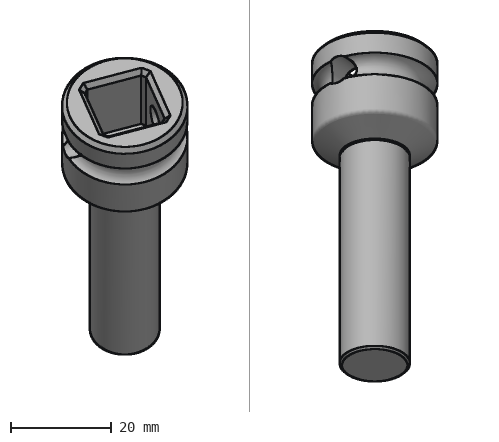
import cadquery as cq
import math

total_length = 70.0
head_diameter = 25.0

head_length = 22.05
head_top_chamfer = 1.0
cone_slope = 29.0
shoulder_fillet = 1.0

groove_depth_from_top = 8.0
groove_section_radius = 2.5
groove_section_offset = 0.5
cross_hole_diameter = 6.0

socket_width = 12.9
socket_corner_cut = 0.8
socket_mouth_chamfer = 1.05
socket_depth = 2 * groove_depth_from_top

shank_diameter = 14.0
shank_top_chamfer = 0.35
shank_bottom_chamfer = 0.5

head_radius = head_diameter / 2
shank_radius = shank_diameter / 2
shank_length = total_length - head_length
groove_ring_radius = head_radius + groove_section_offset
groove_z = total_length - groove_depth_from_top
cone_height = (head_radius - shank_radius) * math.tan(math.radians(cone_slope))
shoulder_z = shank_length + cone_height


def head_blank():
    """Cylinder with a chamfered top, over a cone that narrows to the shank."""
    profile = (
        cq.Workplane("XZ")
        .moveTo(0, shank_length)
        .lineTo(shank_radius, shank_length)
        .lineTo(head_radius, shoulder_z)
        .lineTo(head_radius, total_length)
        .lineTo(0, total_length)
        .close()
    )
    shoulder = cq.selectors.NearestToPointSelector((0, 0, shoulder_z))
    return (
        profile.revolve(360, (0, 0, 0), (0, 1, 0))
        .faces(">Z")
        .edges()
        .chamfer(head_top_chamfer)
        .edges("%CIRCLE")
        .edges(shoulder)
        .fillet(shoulder_fillet)
    )


def ring_groove():
    """Round-bottomed groove that runs around the head."""
    return (
        cq.Workplane("XZ")
        .moveTo(groove_ring_radius, groove_z)
        .circle(groove_section_radius)
        .revolve(360, (0, 0, 0), (0, 1, 0))
    )


def cross_hole():
    """Round hole along Y through the whole head."""
    return (
        cq.Workplane("XZ")
        .center(0, groove_z)
        .circle(cross_hole_diameter / 2)
        .extrude(head_radius, both=True)
    )


def drive_socket():
    """Square recess with cut corners, open at the top of the head."""
    return (
        cq.Workplane("XY")
        .workplane(offset=total_length - socket_depth)
        .rect(socket_width, socket_width)
        .extrude(socket_depth)
        .edges("|Z")
        .chamfer(socket_corner_cut)
    )


def make_head():
    """Grooved and cross-drilled head whose square socket has a chamfered mouth."""
    head_body = head_blank().cut(drive_socket())
    socket_mouth = cq.selectors.BoxSelector(
        (-socket_width, -socket_width, total_length - socket_mouth_chamfer),
        (socket_width, socket_width, total_length + socket_mouth_chamfer),
    )
    head_body = head_body.edges("%LINE").edges(socket_mouth).chamfer(socket_mouth_chamfer)
    return head_body.cut(ring_groove()).cut(cross_hole())


def make_shank():
    """Plain round bar, chamfered at both ends, that butts against the head."""
    return (
        cq.Workplane("XY")
        .circle(shank_radius)
        .extrude(shank_length)
        .faces(">Z")
        .edges()
        .chamfer(shank_top_chamfer)
        .faces("<Z")
        .edges()
        .chamfer(shank_bottom_chamfer)
    )


head = make_head()
shank = make_shank()

result = cq.Compound.makeCompound([head.val(), shank.val()])